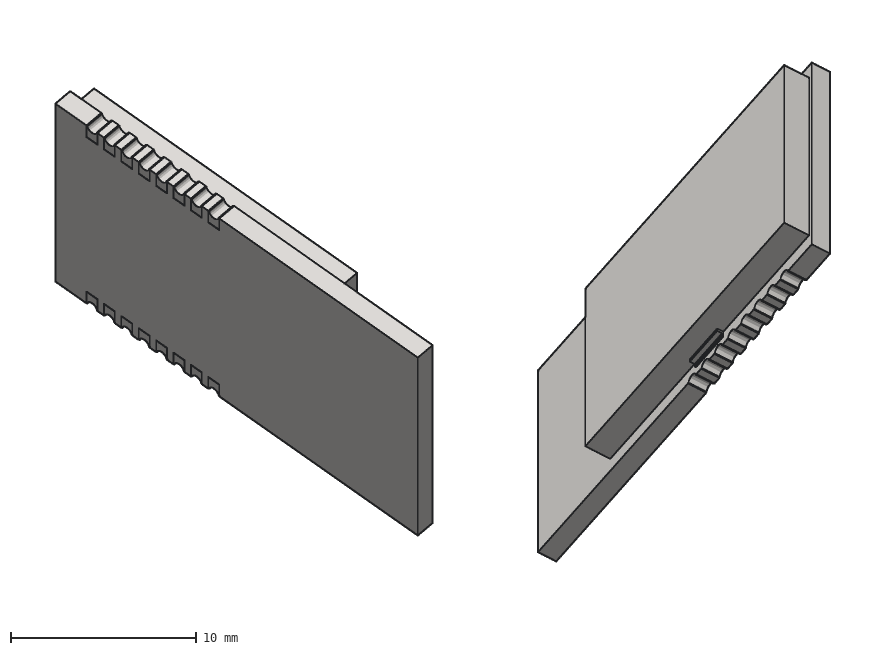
import cadquery as cq

board_length = 26.5
board_height = 15.0
board_thickness = 1.2

contact_count = 8
contact_pitch = 1.27
first_contact_x = 2.68
pad_width = 0.8
pad_height = 0.98
pad_recess = 0.013
groove_radius = 0.35
groove_depth = 0.32

total_depth = 2.8
shield_depth = total_depth - board_thickness
shield_length = 19.25
shield_height = 13.0
shield_end_margin = 0.26
shield_bottom = (board_height - shield_height) / 2

tab_length = 2.65
tab_left = shield_end_margin + (shield_length - tab_length) / 2
lip_depth = 0.4
lip_height = 0.19
foot_depth = 0.08
foot_height = 0.4


def box(x, y, z, length, depth, height):
    """Box with its lowest corner at (x, y, z)."""
    return cq.Workplane("XY").box(length, depth, height, centered=False).translate((x, y, z))


def contact_cut(x, edge_z, inward):
    """Material removed for one contact at a long edge; inward is +1 or -1 along Z."""
    pad_z = min(edge_z, edge_z + inward * pad_height)
    side_z = min(edge_z, edge_z + inward * pad_recess)
    left = x - pad_width / 2
    pad = box(left, 0, pad_z, pad_width, pad_recess, pad_height)
    side = box(left, 0, side_z, pad_width, board_thickness, pad_recess)
    groove_center_z = edge_z + inward * (groove_depth - groove_radius)
    groove = (
        cq.Workplane("XZ")
        .center(x, groove_center_z)
        .circle(groove_radius)
        .extrude(-board_thickness)
    )
    return pad.union(side).union(groove)


def make_board():
    board = box(0, 0, 0, board_length, board_thickness, board_height)
    for index in range(contact_count):
        x = first_contact_x + index * contact_pitch
        board = board.cut(contact_cut(x, 0, 1))
        board = board.cut(contact_cut(x, board_height, -1))
    return board


def make_shield():
    can = box(shield_end_margin, board_thickness, shield_bottom, shield_length, shield_depth, shield_height)
    lip = box(tab_left, board_thickness, shield_bottom - lip_height, tab_length, lip_depth, lip_height)
    foot = box(tab_left, board_thickness, shield_bottom - foot_height, tab_length, foot_depth, foot_height)
    return can.union(lip).union(foot)


board = make_board()
shield = make_shield()

result = cq.Compound.makeCompound([board.val(), shield.val()])